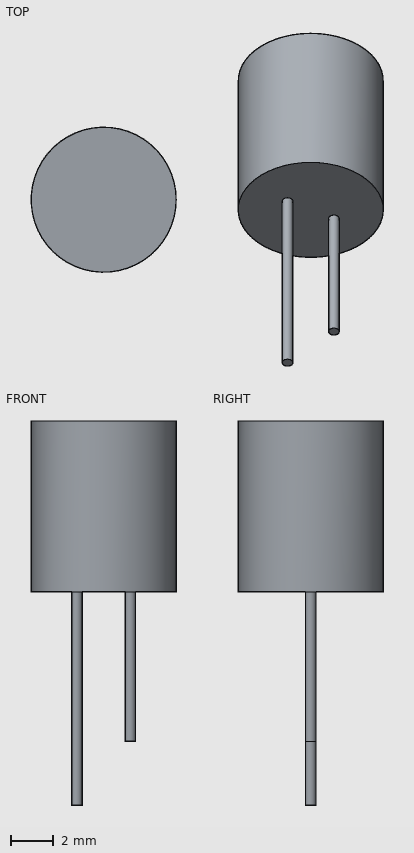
import cadquery as cq

can_diameter = 6.8
can_height = 8.0

lead_diameter = 0.5
lead_pitch = 2.5
long_lead_length = 10.0
short_lead_length = 7.0


def make_can():
    return cq.Workplane("XY").circle(can_diameter / 2).extrude(can_height)


def make_lead(x, length):
    """Round lead hanging from the underside of the can at the given X."""
    return cq.Workplane("XY").center(x, 0).circle(lead_diameter / 2).extrude(-length)


can = make_can()

lead_layout = [
    (-lead_pitch / 2, long_lead_length),
    (lead_pitch / 2, short_lead_length),
]
leads = [make_lead(x, length) for x, length in lead_layout]

result = cq.Compound.makeCompound([can.val(), *[lead.val() for lead in leads]])